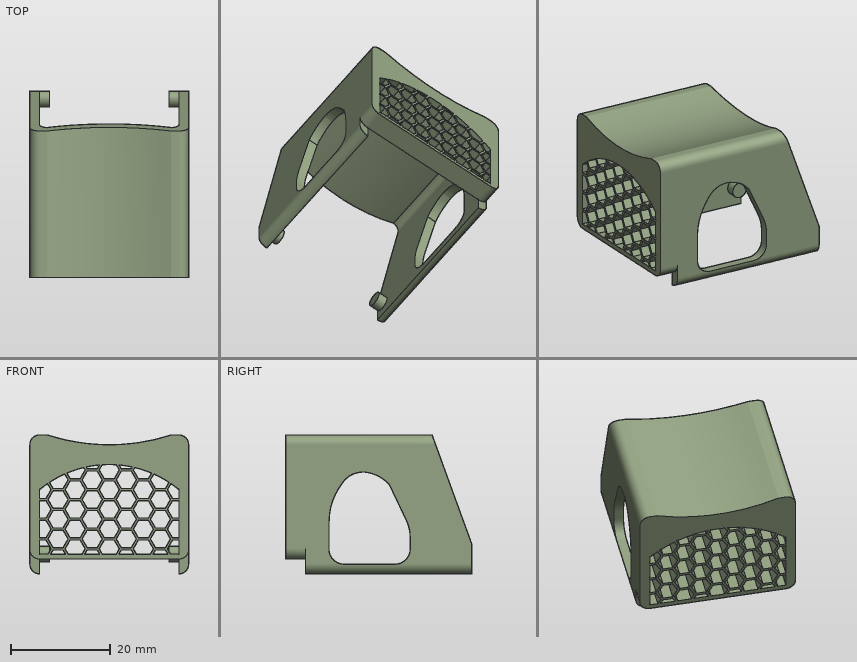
import cadquery as cq
import math

SIN_45 = math.sin(math.radians(45))
SIN_60 = math.sin(math.radians(60))

WIDTH = 32.0
DEPTH = 37.5
HEIGHT = 28.0

WALL = 2.0
FRONT_WALL = 4.0
CORNER_RADIUS = 2.0
BODY_BOTTOM = 3.0
SADDLE_HALF_WIDTH = 12.5
SADDLE_SAG = 2.0
INNER_HALF = WIDTH / 2 - WALL
INNER_CORNER_RADIUS = INNER_HALF - SADDLE_HALF_WIDTH

SKIRT_START = FRONT_WALL
SKIRT_TOP = 6.0

BACK_ANGLE = 20.0
BACK_SLOPE_START = SKIRT_TOP

SILL_HEIGHT = 1.0
GRILLE_BOTTOM = BODY_BOTTOM + SILL_HEIGHT
GRILLE_ARCH_RADIUS = 22.0
GRILLE_CENTRE_Z = (GRILLE_BOTTOM + GRILLE_ARCH_RADIUS) / 2
CELL_DIAMETER = 4.0
CELL_RIB = 0.5
COLUMNS_PER_SIDE = 4
ROWS_PER_SIDE = 3

WINDOW_FRONT = 8.75
WINDOW_BACK = 25.05
WINDOW_BOTTOM = 2.0
WINDOW_CORNER_RADIUS = 3.0
WINDOW_PEAK_Y = 15.85
WINDOW_PEAK_Z = 20.5
WINDOW_FRONT_SPRING_Z = 10.0
WINDOW_SLOPE_BOTTOM_Z = 9.2
WINDOW_SLOPE_BLEND = 8.0
SHOULDER_Y = 20.85
SHOULDER_Z = 18.0
SHOULDER_ARC_MID = (18.5, 19.75)

PIN_DIAMETER = 3.2
PIN_LENGTH = 2.0
PIN_Z = 4.0
PIN_Y = DEPTH - PIN_DIAMETER / 2


def extrude_y(sketch, start, end):
    """Turn a closed XZ outline on the y = 0 plane into a prism from y = start to y = end."""
    return sketch.extrude(-(end - start)).translate((0, start, 0))


def make_shell_block():
    """Solid block with rounded lower and upper corners and a saddle-shaped top."""
    half = WIDTH / 2
    diagonal = CORNER_RADIUS * SIN_45
    upper_z = HEIGHT - CORNER_RADIUS
    lower_z = BODY_BOTTOM + CORNER_RADIUS
    core = half - CORNER_RADIUS
    outline = (
        cq.Workplane("XZ")
        .moveTo(-core, BODY_BOTTOM)
        .lineTo(core, BODY_BOTTOM)
        .threePointArc((core + diagonal, lower_z - diagonal), (half, lower_z))
        .lineTo(half, upper_z)
        .threePointArc((core + diagonal, upper_z + diagonal), (core, HEIGHT))
        .lineTo(SADDLE_HALF_WIDTH, HEIGHT)
        .threePointArc((0, HEIGHT - SADDLE_SAG), (-SADDLE_HALF_WIDTH, HEIGHT))
        .lineTo(-core, HEIGHT)
        .threePointArc((-core - diagonal, upper_z + diagonal), (-half, upper_z))
        .lineTo(-half, lower_z)
        .threePointArc((-core - diagonal, lower_z - diagonal), (-core, BODY_BOTTOM))
        .close()
    )
    return extrude_y(outline, 0, DEPTH)


def make_cavity():
    """Space behind the front wall, open below and at the back, following the saddle above."""
    ceiling = HEIGHT - WALL
    shoulder_z = ceiling - INNER_CORNER_RADIUS
    diagonal = INNER_CORNER_RADIUS * SIN_45
    arc_x = SADDLE_HALF_WIDTH + diagonal
    arc_z = shoulder_z + diagonal
    outline = (
        cq.Workplane("XZ")
        .moveTo(-INNER_HALF, 0)
        .lineTo(INNER_HALF, 0)
        .lineTo(INNER_HALF, shoulder_z)
        .threePointArc((arc_x, arc_z), (SADDLE_HALF_WIDTH, ceiling))
        .threePointArc((0, ceiling - SADDLE_SAG), (-SADDLE_HALF_WIDTH, ceiling))
        .threePointArc((-arc_x, arc_z), (-INNER_HALF, shoulder_z))
        .close()
    )
    return extrude_y(outline, FRONT_WALL, DEPTH)


def make_skirts():
    """Rails below both side walls, rounded along their outer bottom edges."""
    length = DEPTH - SKIRT_START
    block = (
        cq.Workplane("XY")
        .box(WIDTH, length, SKIRT_TOP, centered=(True, False, False))
        .edges("|Y and <Z")
        .fillet(CORNER_RADIUS)
    )
    gap = cq.Workplane("XY").box(2 * INNER_HALF, length, SKIRT_TOP, centered=(True, False, False))
    return block.cut(gap).translate((0, SKIRT_START, 0))


def make_back_cutter():
    """Wedge that slopes the back face forward towards the top."""
    rise = HEIGHT - BACK_SLOPE_START
    setback = rise * math.tan(math.radians(BACK_ANGLE))
    return (
        cq.Workplane("YZ")
        .moveTo(DEPTH, BACK_SLOPE_START)
        .lineTo(DEPTH, HEIGHT)
        .lineTo(DEPTH - setback, HEIGHT)
        .close()
        .extrude(WIDTH / 2, both=True)
    )


def make_window_cutter():
    """Window prism through both side walls: elliptical front, sloped back, rounded sill."""
    slope_foot = (WINDOW_BACK, WINDOW_SLOPE_BOTTOM_Z)
    ellipse_y_radius = WINDOW_PEAK_Y - WINDOW_FRONT
    ellipse_z_radius = WINDOW_PEAK_Z - WINDOW_FRONT_SPRING_Z
    ellipse_mid = (
        WINDOW_PEAK_Y - ellipse_y_radius * SIN_45,
        WINDOW_FRONT_SPRING_Z + ellipse_z_radius * SIN_45,
    )
    prism = (
        cq.Workplane("YZ")
        .moveTo(WINDOW_FRONT, WINDOW_BOTTOM)
        .lineTo(WINDOW_BACK, WINDOW_BOTTOM)
        .lineTo(*slope_foot)
        .lineTo(SHOULDER_Y, SHOULDER_Z)
        .threePointArc(SHOULDER_ARC_MID, (WINDOW_PEAK_Y, WINDOW_PEAK_Z))
        .spline(
            [ellipse_mid, (WINDOW_FRONT, WINDOW_FRONT_SPRING_Z)],
            tangents=[(-ellipse_y_radius, 0), (0, -ellipse_z_radius)],
            includeCurrent=True,
        )
        .close()
        .extrude(WIDTH / 2, both=True)
    )
    slope_edge = cq.selectors.NearestToPointSelector((0, *slope_foot))
    return (
        prism.edges("|X and <Z").fillet(WINDOW_CORNER_RADIUS)
        .edges(slope_edge).fillet(WINDOW_SLOPE_BLEND)
    )


def make_grille_cells():
    """Hexagonal through-cells, trimmed to the arched opening of the front wall."""
    pitch = CELL_DIAMETER * SIN_60 + CELL_RIB
    column_pitch = pitch * SIN_60
    centres = []
    for column in range(-COLUMNS_PER_SIDE, COLUMNS_PER_SIDE + 1):
        stagger = pitch / 2 * (column % 2)
        for row in range(-ROWS_PER_SIDE, ROWS_PER_SIDE + 1):
            centres.append((column * column_pitch, GRILLE_CENTRE_Z + row * pitch + stagger))
    cells = extrude_y(cq.Workplane("XZ").pushPoints(centres).polygon(6, CELL_DIAMETER), 0, FRONT_WALL)

    spring_z = math.sqrt(GRILLE_ARCH_RADIUS**2 - INNER_HALF**2)
    opening = (
        cq.Workplane("XZ")
        .moveTo(-INNER_HALF, GRILLE_BOTTOM)
        .lineTo(INNER_HALF, GRILLE_BOTTOM)
        .lineTo(INNER_HALF, spring_z)
        .threePointArc((0, GRILLE_ARCH_RADIUS), (-INNER_HALF, spring_z))
        .close()
    )
    return cells.intersect(extrude_y(opening, 0, FRONT_WALL))


def make_pins():
    """Two coaxial pins pointing inwards from the side walls at the back."""
    axis = cq.Workplane("YZ").center(PIN_Y, PIN_Z)
    right = axis.workplane(offset=INNER_HALF - PIN_LENGTH).circle(PIN_DIAMETER / 2).extrude(PIN_LENGTH)
    return right.union(right.mirror("YZ"))


result = make_shell_block().cut(make_cavity()).union(make_skirts())
result = result.cut(make_back_cutter()).cut(make_window_cutter()).cut(make_grille_cells())
result = result.union(make_pins())